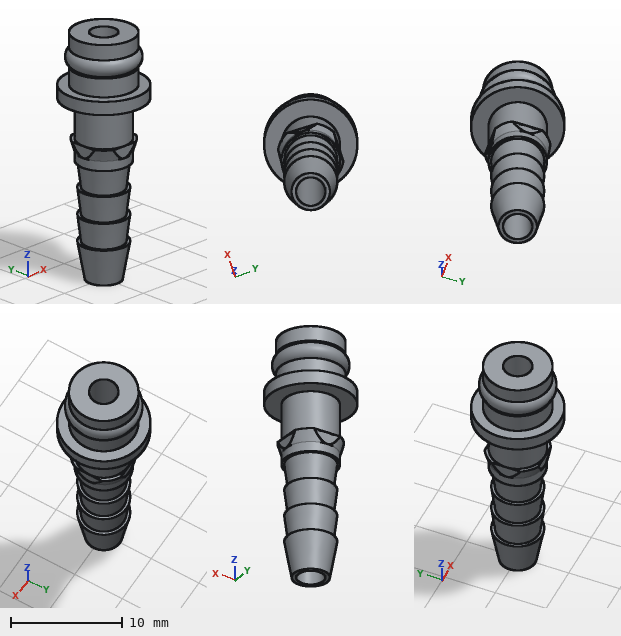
import cadquery as cq

length = 23.9
bore_radius = 1.31

plug_radius = 3.13
ring_outer_radius = 3.5
ring_section_radius = 0.88
ring_height = 21.53

flange_diameter = 8.4
flange_bottom = 17.55
flange_top = 18.83

shank_radius = 2.63
collar_bottom = 12.43
collar_top = 13.6
collar_radius = 2.99

tip_radius = 1.72
tip_length = 3.65
barb_radius = 2.4
barb_root_radius = 2.05
barb_pitch = 2.6
barb_count = 3
shank_bottom = tip_length + barb_count * barb_pitch


def cylinder(radius, bottom, top):
    return cq.Workplane("XY").workplane(offset=bottom).circle(radius).extrude(top - bottom)


def cone(bottom_radius, top_radius, bottom, top):
    profile = [(0, bottom), (bottom_radius, bottom), (top_radius, top), (0, top)]
    return cq.Workplane("XZ").polyline(profile).close().revolve(360, (0, 0), (0, 1))


def plug():
    """Stepped plug whose round sealing ring fills the groove between two lands."""
    ring_center_radius = ring_outer_radius - ring_section_radius
    groove_top = ring_height + ring_section_radius
    groove_bottom = ring_height - ring_section_radius
    return (
        cq.Workplane("XZ")
        .moveTo(0, flange_top)
        .lineTo(plug_radius, flange_top)
        .lineTo(plug_radius, groove_bottom)
        .lineTo(ring_center_radius, groove_bottom)
        .threePointArc((ring_outer_radius, ring_height), (ring_center_radius, groove_top))
        .lineTo(plug_radius, groove_top)
        .lineTo(plug_radius, length)
        .lineTo(0, length)
        .close()
        .revolve(360, (0, 0), (0, 1))
    )


def collar():
    """Flare that survives only at the four corners between the flats."""
    flats = (
        cq.Workplane("XY")
        .workplane(offset=collar_bottom)
        .rect(2 * shank_radius, 2 * shank_radius)
        .extrude(collar_top - collar_bottom)
    )
    return cone(shank_radius, collar_radius, collar_bottom, collar_top).intersect(flats)


def barbs():
    body = cone(tip_radius, barb_radius, 0, tip_length)
    for index in range(barb_count):
        bottom = tip_length + index * barb_pitch
        body = body.union(cone(barb_root_radius, barb_radius, bottom, bottom + barb_pitch))
    return body


flange = cylinder(flange_diameter / 2, flange_bottom, flange_top)
shank = cylinder(shank_radius, shank_bottom, flange_bottom)
bore = cylinder(bore_radius, 0, length)

result = barbs().union(shank).union(collar()).union(flange).union(plug()).cut(bore)